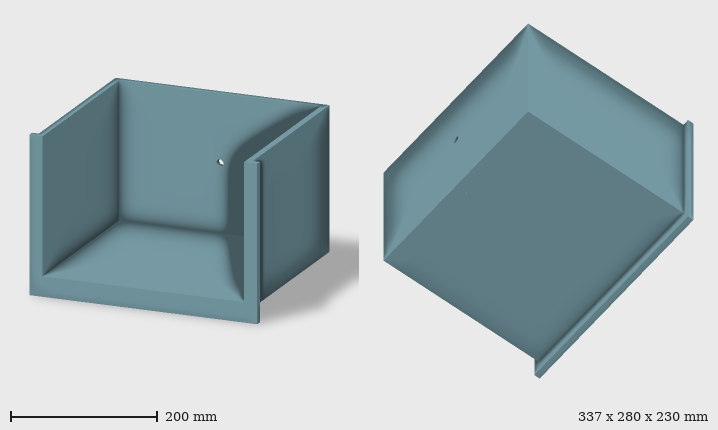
import cadquery as cq

flange_width = 337.0
flange_thickness = 9.5
height = 230.0

depth = 280.0
wall = 9.5
inner_width = 298.0
outer_width = inner_width + 2 * wall
tray_bottom = 20.0
floor_top = tray_bottom + wall

back_hole_diameter = 10.0
back_hole_height = 130.0
drain_diameter = 2.5
drain_to_back_wall = 8.8


def block(width, y_start, y_end, z_start, z_end):
    """Box centred on X = 0 between the given Y and Z limits."""
    return (
        cq.Workplane("XY")
        .box(width, y_end - y_start, z_end - z_start, centered=(True, False, False))
        .translate((0, y_start, z_start))
    )


flange = block(flange_width, 0, flange_thickness, 0, height)
tray = block(outer_width, 0, depth, tray_bottom, height)

back_wall_inside = depth - wall
cavity = block(inner_width, 0, back_wall_inside, floor_top, height)

back_hole = (
    cq.Workplane("XZ", origin=(0, depth, back_hole_height))
    .circle(back_hole_diameter / 2)
    .extrude(wall)
)

drain_hole = (
    cq.Workplane("XY", origin=(0, back_wall_inside - drain_to_back_wall, tray_bottom))
    .circle(drain_diameter / 2)
    .extrude(floor_top - tray_bottom)
)

result = flange.union(tray).cut(cavity).cut(back_hole).cut(drain_hole)